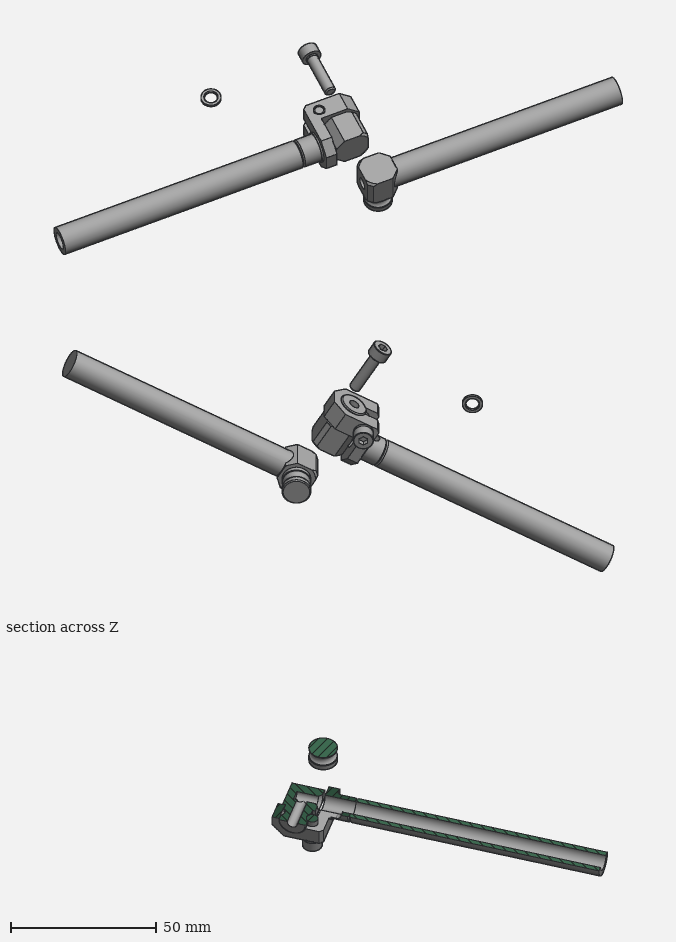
import cadquery as cq
import math


block_width = 12.0
block_height = 11.1
small_corner_cut = 1.5
large_corner_cut = 3.0
block_end_radius = 6.5
post_diameter = 10.0
post_length = 7.7
post_end_chamfer = 0.4
groove_lip_chamfer = 0.2
tapped_hole_diameter = 4.2
blind_hole_depth = 3.0
drill_tip_angle = 118.0
post_hole_diameter = 3.5
cross_hole_diameter = 3.5
cross_hole_depth = 9.0
countersink_diameter = 6.0
countersink_angle = 90.0

rod_diameter = 10.0
rod_bore_diameter = 6.0
rod_end_chamfer = 0.5

shank_diameter = 4.0
shank_length = 15.9
shank_end_chamfer = 0.5
collar_diameter = 4.4
collar_length = 0.5
head_diameter = 7.0
head_height = 4.0
head_rim_chamfer = 0.2
socket_flats = 3.0
socket_depth = 2.0
washer_diameter = 7.0
washer_hole_diameter = 4.4
washer_hole_chamfer = 0.3
washer_thickness = 1.0

clamp_half_height = 7.5
arm_end_reach = 7.5
arm_end_chamfer = 4.4
side_arm_outer = 12.7
front_arm_outer = 10.7
front_arm_thickness = 4.0
outer_corner_chamfer = 1.2
boss_diameter = 11.0
boss_height = 0.5
neck_length = 7.2
slit_width = 3.8
slit_reach = 14.9
clamp_screw_x = -9.1
clamp_screw_y = -6.0

total_length = 198.6
loose_axis_y = 0.8
loose_axis_z = 7.3
loose_joint_x = 25.2
loose_screw_x = -34.4
loose_washer_centre = (-28.8, -38.0, 8.0)
fixed_rod_end_y = -107.9

side_arm_inner = block_height / 2
neck_end_y = -front_arm_outer - neck_length
clamp_bottom_z = -clamp_half_height


def joint_block():
    """Block centred on the origin with its large corner cuts on the +Y side."""
    half = block_width / 2
    inner_small = half - small_corner_cut
    inner_large = half - large_corner_cut
    outline = [
        (-half, -inner_small),
        (-inner_small, -half),
        (inner_small, -half),
        (half, -inner_small),
        (half, inner_large),
        (inner_large, half),
        (-inner_large, half),
        (-half, inner_large),
    ]
    block = cq.Workplane("XY").polyline(outline).close().extrude(block_height / 2, both=True)

    middle_radius = block_end_radius + block_height / 2
    double_cone = (
        cq.Workplane("XZ")
        .moveTo(0, -block_height / 2)
        .lineTo(block_end_radius, -block_height / 2)
        .lineTo(middle_radius, 0)
        .lineTo(block_end_radius, block_height / 2)
        .lineTo(0, block_height / 2)
        .close()
        .revolve(360, (0, 0, 0), (0, 1, 0))
    )
    return block.intersect(double_cone)


def grooved_post():
    """Post below the block, with a round groove in which the clamp screw engages."""
    post = (
        cq.Workplane("XY")
        .workplane(offset=-block_height / 2)
        .circle(post_diameter / 2)
        .extrude(-post_length)
        .faces("<Z")
        .chamfer(post_end_chamfer)
    )
    groove = (
        cq.Workplane("XZ")
        .center(-clamp_screw_y, clamp_screw_x)
        .circle(shank_diameter / 2)
        .revolve(360, (clamp_screw_y, 0, 0), (clamp_screw_y, 1, 0))
    )
    lip_reach = shank_diameter / 2
    lips = cq.selectors.BoxSelector(
        (-post_diameter, -post_diameter, clamp_screw_x - lip_reach),
        (post_diameter, post_diameter, clamp_screw_x + lip_reach),
    )
    return post.cut(groove).edges(lips).chamfer(groove_lip_chamfer)


def make_loose_joint():
    """Joint head in one piece with its rod, which leaves the block toward +Y."""
    rod_length = total_length + fixed_rod_end_y - loose_axis_y
    rod = cq.Workplane("XZ").circle(rod_diameter / 2).extrude(-rod_length)
    drill_tip_height = tapped_hole_diameter / 2 / math.tan(math.radians(drill_tip_angle / 2))
    hole = (
        cq.Workplane("XY")
        .moveTo(0, -block_width / 2)
        .lineTo(tapped_hole_diameter / 2, -block_width / 2)
        .lineTo(tapped_hole_diameter / 2, -block_width / 2 + blind_hole_depth)
        .lineTo(0, -block_width / 2 + blind_hole_depth + drill_tip_height)
        .close()
        .revolve(360, (0, 0, 0), (0, 1, 0))
    )
    joint = joint_block().union(grooved_post()).union(rod).cut(hole)
    return joint.translate((loose_joint_x, loose_axis_y, loose_axis_z))


def make_clamped_joint():
    """Joint head in the clamp: post toward -X, large corner cuts and cross hole toward -Y."""
    joint = (
        joint_block()
        .union(grooved_post())
        .faces(">Y")
        .workplane(origin=(0, 0, 0))
        .cskHole(cross_hole_diameter, countersink_diameter, countersink_angle, cross_hole_depth)
    )
    post_hole = (
        cq.Workplane("XY").circle(post_hole_diameter / 2).extrude(-block_height / 2 - post_length)
    )
    joint = joint.cut(post_hole)
    return joint.rotate((0, 0, 0), (0, 0, 1), 180).rotate((0, 0, 0), (0, 1, 0), 90)


def make_cap_screw():
    """Screw along +Z with its head below the XY plane."""
    head = (
        cq.Workplane("XY")
        .circle(head_diameter / 2)
        .extrude(-head_height)
        .faces("<Z")
        .chamfer(head_rim_chamfer)
    )
    collar = cq.Workplane("XY").circle(collar_diameter / 2).extrude(collar_length)
    shank = (
        cq.Workplane("XY")
        .circle(shank_diameter / 2)
        .extrude(shank_length)
        .faces(">Z")
        .chamfer(shank_end_chamfer)
    )
    socket = (
        cq.Workplane("XY")
        .workplane(offset=-head_height)
        .polygon(6, socket_flats, circumscribed=True)
        .extrude(socket_depth)
    )
    return head.union(collar).union(shank).cut(socket)


def make_washer():
    """Washer centred on the origin."""
    return (
        cq.Workplane("XY")
        .circle(washer_diameter / 2)
        .circle(washer_hole_diameter / 2)
        .extrude(washer_thickness / 2, both=True)
        .edges(cq.selectors.RadiusNthSelector(0))
        .chamfer(washer_hole_chamfer)
    )


def make_arm(plane, outer_end, thickness):
    """Arm outline extruded from the plane: square at the outer corner, chamfered at the free end."""
    shoulder = arm_end_reach - arm_end_chamfer
    half_flat = clamp_half_height - arm_end_chamfer
    return (
        cq.Workplane(plane)
        .moveTo(-outer_end, -clamp_half_height)
        .lineTo(shoulder, -clamp_half_height)
        .lineTo(arm_end_reach, -half_flat)
        .lineTo(arm_end_reach, half_flat)
        .lineTo(shoulder, clamp_half_height)
        .lineTo(-outer_end, clamp_half_height)
        .close()
        .extrude(thickness)
    )


def make_clamp():
    """Angled clamp: a side arm for the post, a front arm with the rod neck, and one shared slit."""
    side_arm = make_arm("YZ", front_arm_outer, side_arm_outer - side_arm_inner)
    front_arm = make_arm("XZ", side_arm_outer, front_arm_thickness)
    side_arm = side_arm.translate((-side_arm_outer, 0, 0))
    front_arm = front_arm.translate((0, front_arm_thickness - front_arm_outer, 0))
    clamp = side_arm.union(front_arm)
    clamp = clamp.edges("|Z and <X and <Y").chamfer(outer_corner_chamfer)

    front_face = cq.Workplane("XZ").workplane(offset=front_arm_outer)
    neck = front_face.circle(rod_diameter / 2).extrude(neck_length).faces("<Y").chamfer(rod_end_chamfer)
    boss = front_face.circle(boss_diameter / 2).extrude(boss_height)
    neck_bore = cq.Workplane("XZ").circle(rod_bore_diameter / 2).extrude(-neck_end_y)
    clamp = clamp.union(boss).union(neck).cut(neck_bore)

    post_bore = cq.Workplane("YZ").circle(post_diameter / 2).extrude(-side_arm_outer)
    screw_hole = (
        cq.Workplane("XY")
        .center(clamp_screw_x, clamp_screw_y)
        .circle(shank_diameter / 2)
        .extrude(clamp_half_height, both=True)
    )
    clamp = clamp.cut(post_bore).cut(screw_hole)

    slit_end_centre = -slit_reach + slit_width / 2
    slit = (
        cq.Workplane("YZ")
        .moveTo(0, -slit_width / 2)
        .lineTo(slit_end_centre, -slit_width / 2)
        .threePointArc((-slit_reach, 0), (slit_end_centre, slit_width / 2))
        .lineTo(0, slit_width / 2)
        .close()
        .extrude(-side_arm_outer)
    )
    return clamp.cut(slit)


def make_fixed_rod():
    """Tube that butts against the end of the clamp neck."""
    return (
        cq.Workplane("XZ")
        .workplane(offset=-neck_end_y)
        .circle(rod_diameter / 2)
        .extrude(neck_end_y - fixed_rod_end_y)
        .faces(">Y")
        .chamfer(rod_end_chamfer)
        .cut(cq.Workplane("XZ").circle(rod_bore_diameter / 2).extrude(-fixed_rod_end_y))
    )


loose_joint = make_loose_joint()
clamped_joint = make_clamped_joint()
clamp = make_clamp()
fixed_rod = make_fixed_rod()

clamp_screw_place = (clamp_screw_x, clamp_screw_y, clamp_bottom_z - washer_thickness)
loose_screw_place = (loose_screw_x + head_height, loose_axis_y, loose_axis_z)
screws = [
    make_cap_screw().translate(clamp_screw_place),
    make_cap_screw().rotate((0, 0, 0), (0, 1, 0), 90).translate(loose_screw_place),
]

clamp_washer_centre = (clamp_screw_x, clamp_screw_y, clamp_bottom_z - washer_thickness / 2)
washers = [make_washer().translate(place) for place in (clamp_washer_centre, loose_washer_centre)]

bodies = [loose_joint, clamped_joint, clamp, fixed_rod, *screws, *washers]
result = cq.Compound.makeCompound([body.val() for body in bodies])